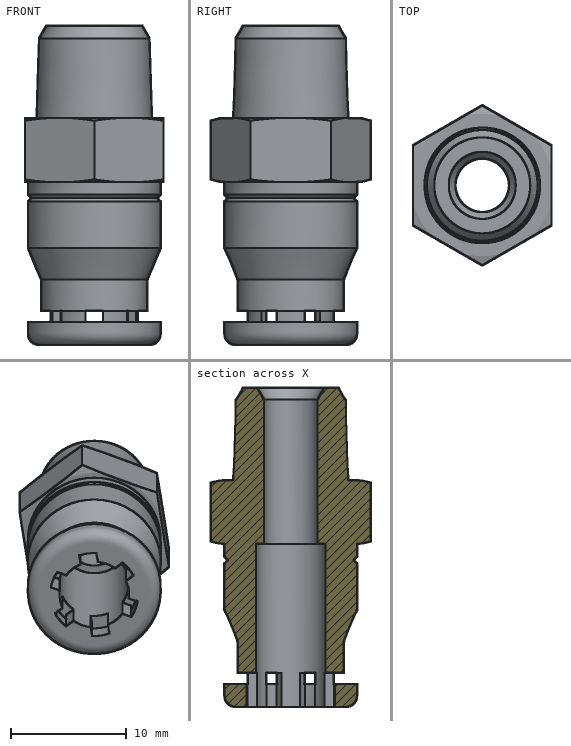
import cadquery as cq
import math


total_height = 27.6
thread_length = 8.0
hex_height = 5.5
hex_top = total_height - thread_length
hex_bottom = hex_top - hex_height
groove_top = 13.0
body_cone_top = 8.4
neck_top = 5.65
neck_bottom = 2.95
flange_top = 2.0

body_diameter = 11.5
neck_diameter = 9.2
groove_width = 0.6
groove_depth = groove_width / 2
flange_edge_radius = 1.0

hex_sides = 6
hex_across_flats = 12.0
hex_chamfer_diameter = 12.3
hex_chamfer_angle = 15.0

thread_base_diameter = 10.0
thread_taper = 1 / 16
thread_chamfer_height = 1.1
thread_chamfer_angle = 30.0

bore_diameter = 4.6
bore_mouth_diameter = 5.8
bore_mouth_half_angle = 30.0
tube_diameter = 6.0
tube_socket_depth = hex_bottom

collet_diameter = 7.6
slot_width = 1.5
slot_count = 6
first_slot_angle = 30.0


def tan_deg(angle):
    return math.tan(math.radians(angle))


def cylinder(diameter, bottom, top):
    return cq.Workplane("XY").workplane(offset=bottom).circle(diameter / 2).extrude(top - bottom)


def revolve_profile(profile):
    """Turn a closed profile, drawn as (radius, height), about the Z axis."""
    return profile.close().revolve(360, (0, 0, 0), (0, 1, 0))


def make_thread():
    chamfer_bottom = total_height - thread_chamfer_height
    base_radius = thread_base_diameter / 2
    shoulder_radius = base_radius - thread_taper * (chamfer_bottom - hex_top) / 2
    tip_radius = shoulder_radius - thread_chamfer_height * tan_deg(thread_chamfer_angle)
    profile = (
        cq.Workplane("XZ")
        .moveTo(0, hex_top)
        .lineTo(base_radius, hex_top)
        .lineTo(shoulder_radius, chamfer_bottom)
        .lineTo(tip_radius, total_height)
        .lineTo(0, total_height)
    )
    return revolve_profile(profile)


def make_hexagon():
    """Hexagon with corners on the Y axis and conical chamfers on the corners at both ends."""
    corner_radius = hex_across_flats / 2 / math.cos(math.pi / hex_sides)
    flat_radius = hex_chamfer_diameter / 2
    chamfer_height = (corner_radius - flat_radius) * tan_deg(hex_chamfer_angle)
    prism = (
        cq.Workplane("XY")
        .workplane(offset=hex_bottom)
        .polygon(hex_sides, 2 * corner_radius)
        .extrude(hex_height)
        .rotate((0, 0, 0), (0, 0, 1), 180 / hex_sides)
    )
    envelope = (
        cq.Workplane("XZ")
        .moveTo(0, hex_bottom)
        .lineTo(flat_radius, hex_bottom)
        .lineTo(corner_radius, hex_bottom + chamfer_height)
        .lineTo(corner_radius, hex_top - chamfer_height)
        .lineTo(flat_radius, hex_top)
        .lineTo(0, hex_top)
    )
    return prism.intersect(revolve_profile(envelope))


def make_body():
    """Round body with a V-groove below the hexagon and a cone down to the neck."""
    body_radius = body_diameter / 2
    neck_radius = neck_diameter / 2
    profile = (
        cq.Workplane("XZ")
        .moveTo(0, neck_bottom)
        .lineTo(neck_radius, neck_bottom)
        .lineTo(neck_radius, neck_top)
        .lineTo(body_radius, body_cone_top)
        .lineTo(body_radius, groove_top - groove_width)
        .lineTo(body_radius - groove_depth, groove_top - groove_width / 2)
        .lineTo(body_radius, groove_top)
        .lineTo(body_radius, hex_bottom)
        .lineTo(0, hex_bottom)
    )
    return revolve_profile(profile)


def make_flange():
    return cylinder(body_diameter, 0, flange_top).faces("<Z").edges().fillet(flange_edge_radius)


def make_collet_core():
    return cylinder(collet_diameter, 0, neck_bottom)


def make_collet_slots():
    """Radial slots that split the collet wall into legs; they run down through the flange."""
    slots = cq.Workplane("XY")
    for index in range(slot_count):
        angle = first_slot_angle + index * 360 / slot_count
        slot = (
            cq.Workplane("XY")
            .rect(collet_diameter, slot_width)
            .extrude(neck_bottom)
            .translate((collet_diameter / 2, 0, 0))
            .rotate((0, 0, 0), (0, 0, 1), angle)
        )
        slots = slots.union(slot)
    return slots.intersect(make_collet_core())


def make_bores():
    """Through bore with a conical mouth at the top and a tube socket from below."""
    bore_radius = bore_diameter / 2
    tube_radius = tube_diameter / 2
    mouth_radius = bore_mouth_diameter / 2
    mouth_depth = (mouth_radius - bore_radius) / tan_deg(bore_mouth_half_angle)
    profile = (
        cq.Workplane("XZ")
        .moveTo(0, 0)
        .lineTo(tube_radius, 0)
        .lineTo(tube_radius, tube_socket_depth)
        .lineTo(bore_radius, tube_socket_depth)
        .lineTo(bore_radius, total_height - mouth_depth)
        .lineTo(mouth_radius, total_height)
        .lineTo(0, total_height)
    )
    return revolve_profile(profile)


outside = make_flange().union(make_collet_core()).union(make_body())
outside = outside.union(make_hexagon()).union(make_thread())
result = outside.cut(make_collet_slots()).cut(make_bores())